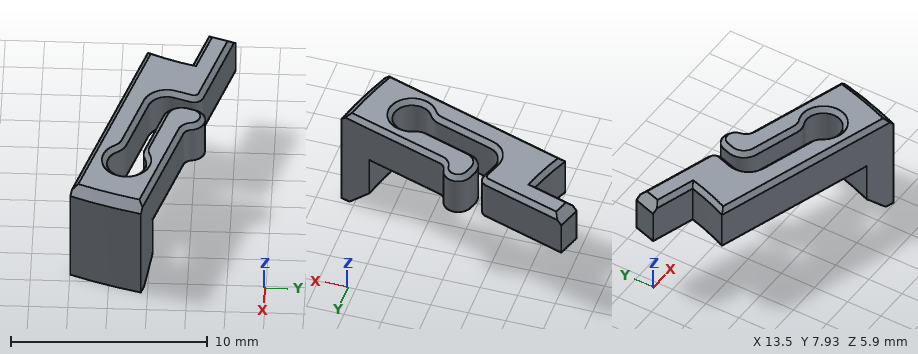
import cadquery as cq
import math

tilt = -18.2

bar_width = 3.83
plate_thickness = 2.37
total_height = 5.9
heel_radius = 27.36
shoulder_radius = 16.15
arc_centre_y = bar_width / 2
arc_centre_x = -27.32
finger_end_x = -13.78
finger_side_y = 2.48

leg_thickness = 1.75
leg_bevel = 1.24

hole_radius = 1.0
hole_x = -3.07
slot_width = 1.0
blend_radius = 1.0
gap_left_x = -8.57
gap_right_x = -8.06
gap_corner_radius = 0.5

tip_radius = 0.75
tip_centre_y = 3.79
tip_blend_radius = 0.5

edge_bevel = 0.25
end_bevel = 0.5

slot_bottom_y = arc_centre_y - slot_width / 2
slot_top_y = arc_centre_y + slot_width / 2
throat_run = math.sqrt((hole_radius + blend_radius) ** 2 - (slot_width / 2 + blend_radius) ** 2)
throat_x = hole_x - throat_run
tip_centre_x = gap_right_x + tip_radius
tip_blend_y = bar_width + tip_blend_radius
tip_blend_run = math.sqrt((tip_radius + tip_blend_radius) ** 2 - (tip_blend_y - tip_centre_y) ** 2)
tip_blend_x = tip_centre_x + tip_blend_run


def point_on_arc(centre, radius, degrees):
    angle = math.radians(degrees)
    return (centre[0] + radius * math.cos(angle), centre[1] + radius * math.sin(angle))


def x_on_arc(radius, y):
    """X of a point at height y on a circle about the common arc centre."""
    return arc_centre_x + math.sqrt(radius ** 2 - (y - arc_centre_y) ** 2)


def bend(outline, centre, radius, start, end):
    """Add an arc that runs from the start angle to the end angle."""
    middle = point_on_arc(centre, radius, (start + end) / 2)
    return outline.threePointArc(middle, point_on_arc(centre, radius, end))


def make_plate():
    heel_x = x_on_arc(heel_radius, 0)
    heel_middle = (arc_centre_x + heel_radius, arc_centre_y)
    shoulder_mid_y = finger_side_y / 2
    shoulder_middle = (x_on_arc(shoulder_radius, shoulder_mid_y), shoulder_mid_y)

    tip_angle = math.degrees(math.atan2(tip_blend_y - tip_centre_y, tip_blend_run))
    throat_angle = math.degrees(math.atan2(slot_width / 2 + blend_radius, throat_run))
    corner_centre = (gap_left_x - gap_corner_radius, bar_width - gap_corner_radius)

    outline = (
        cq.Workplane("XY")
        .moveTo(x_on_arc(shoulder_radius, 0), 0)
        .lineTo(heel_x, 0)
        .threePointArc(heel_middle, (heel_x, bar_width))
        .lineTo(tip_blend_x, bar_width)
    )
    outline = bend(outline, (tip_blend_x, tip_blend_y), tip_blend_radius, 270, 180 + tip_angle)
    outline = bend(outline, (tip_centre_x, tip_centre_y), tip_radius, tip_angle, 180)
    outline = outline.lineTo(gap_right_x, slot_top_y + blend_radius)
    hook_bend = (gap_right_x + blend_radius, slot_top_y + blend_radius)
    outline = bend(outline, hook_bend, blend_radius, 180, 270)
    outline = outline.lineTo(throat_x, slot_top_y)
    outline = bend(outline, (throat_x, slot_top_y + blend_radius), blend_radius, 270, 360 - throat_angle)
    outline = bend(
        outline, (hole_x, arc_centre_y), hole_radius, 180 - throat_angle, throat_angle - 180
    )
    outline = bend(outline, (throat_x, slot_bottom_y - blend_radius), blend_radius, throat_angle, 90)
    outline = outline.lineTo(gap_left_x + blend_radius, slot_bottom_y)
    gap_bend = (gap_left_x + blend_radius, slot_bottom_y + blend_radius)
    outline = bend(outline, gap_bend, blend_radius, 270, 180)
    outline = outline.lineTo(gap_left_x, bar_width - gap_corner_radius)
    outline = bend(outline, corner_centre, gap_corner_radius, 0, 90)
    outline = (
        outline.lineTo(finger_end_x, bar_width)
        .lineTo(finger_end_x, finger_side_y)
        .lineTo(x_on_arc(shoulder_radius, finger_side_y), finger_side_y)
        .threePointArc(shoulder_middle, (x_on_arc(shoulder_radius, 0), 0))
        .close()
    )
    return outline.extrude(-plate_thickness)


def bevel_top(plate):
    def is_end(edge):
        """True for the flat finger end and the rounded heel end."""
        x = edge.Center().x
        return x < finger_end_x + edge_bevel or x > -edge_bevel

    def is_side(edge):
        """True for outline edges left between the two bevelled ends."""
        x = edge.Center().x
        return finger_end_x + end_bevel + edge_bevel < x < -end_bevel - edge_bevel

    plate = plate.faces(">Z").edges().filter(is_end).chamfer(end_bevel)
    return plate.faces(">Z").edges().filter(is_side).chamfer(edge_bevel)


def make_leg():
    inner_radius = heel_radius - leg_thickness
    leg_height = total_height - plate_thickness

    def disc(radius, bottom, height):
        return cq.Workplane("XY", origin=(arc_centre_x, arc_centre_y, bottom)).circle(radius).extrude(height)

    leg = disc(heel_radius, -total_height, leg_height)
    leg = leg.cut(disc(inner_radius, -total_height, leg_height))
    cone = cq.Workplane(
        cq.Solid.makeCone(
            inner_radius + leg_bevel, inner_radius, leg_bevel,
            cq.Vector(arc_centre_x, arc_centre_y, -total_height),
        )
    )
    leg_span = cq.Workplane("XY").box(
        4 * leg_thickness, bar_width, total_height, centered=(True, False, False)
    ).translate((0, 0, -total_height))
    return leg.cut(cone).intersect(leg_span)


body = bevel_top(make_plate()).union(make_leg())
result = body.rotate((0, 0, 0), (0, 0, 1), tilt)